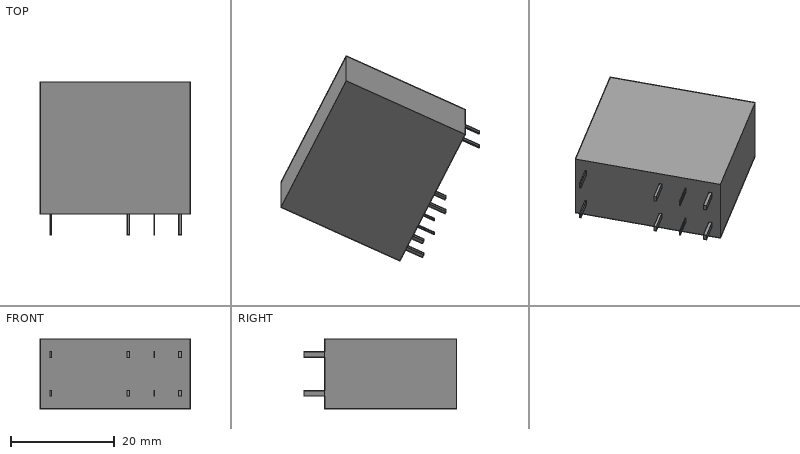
import cadquery as cq

BODY_X = 29.0
BODY_Z = 13.5
TOTAL_Y = 29.5
PIN_LENGTH = 4.0
BODY_Y = TOTAL_Y - PIN_LENGTH

PIN_HEIGHT = 1.1
ROW_SPACING = 7.5
PIN_PITCH = 5.0
COIL_PIN_X = -12.42
FIRST_CONTACT_X = COIL_PIN_X + 3 * PIN_PITCH

COIL_PIN_WIDTH = 0.27
CONTACT_PIN_WIDTHS = (0.5, 0.12, 0.62)


def make_body():
    return cq.Workplane("XY").box(BODY_X, BODY_Y, BODY_Z).translate((0, BODY_Y / 2, 0))


def make_pin(x, z, width):
    """Flat pin standing out of the pin face toward -Y."""
    pin = cq.Workplane("XY").box(width, PIN_LENGTH, PIN_HEIGHT)
    return pin.translate((x, -PIN_LENGTH / 2, z))


result = make_body()
for row_z in (-ROW_SPACING / 2, ROW_SPACING / 2):
    result = result.union(make_pin(COIL_PIN_X, row_z, COIL_PIN_WIDTH))
    for index, width in enumerate(CONTACT_PIN_WIDTHS):
        contact_x = FIRST_CONTACT_X + index * PIN_PITCH
        result = result.union(make_pin(contact_x, row_z, width))